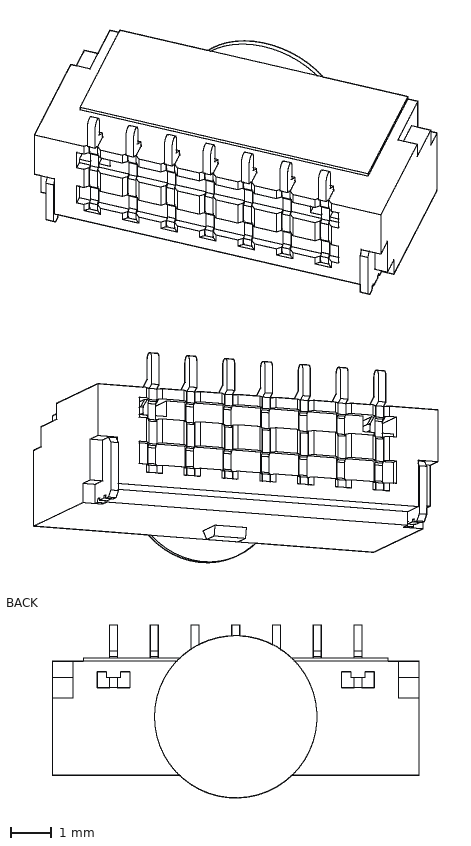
import cadquery as cq


HOUSING_WIDTH = 9.0
HOUSING_DEPTH = 4.24
HOUSING_HEIGHT = 2.8

REAR_NOTCH_WIDTH = 0.5
REAR_NOTCH_LENGTH = 1.5
REAR_NOTCH_DROP = 0.4
REAR_NOTCH_LOW_LENGTH = 0.48
REAR_NOTCH_LOW_DROP = 0.9

NAIL_NOTCH_WIDTH = 0.52
NAIL_NOTCH_LENGTH = 0.5
NAIL_NOTCH_HEIGHT = 1.5
NAIL_NOTCH_LOW_LENGTH = 0.98
NAIL_NOTCH_LOW_HEIGHT = 0.48

RELIEF_HEIGHT = 0.34
RELIEF_LENGTH = 0.7

NAIL_THICKNESS = 0.2
NAIL_CHAMFER_LENGTH = 0.15
NAIL_CHAMFER_HEIGHT = 0.15
NAIL_FOOT_LENGTH = 0.17
NAIL_GROOVE_LENGTH = 0.13
NAIL_PAD_LENGTH = 0.31
NAIL_GROOVE_HEIGHT = 0.09
NAIL_PAD_GAP = 0.03

NUB_WIDTH = 0.83
NUB_DEPTH = 0.26
NUB_FRONT = 2.45
NUB_REAR = 3.24
NUB_FRONT_DRAFT = 0.06
NUB_REAR_DRAFT = 0.24

CONTACT_COUNT = 7
CONTACT_PITCH = 1.0
CONTACT_WIDTH = 0.2
CONTACT_PROTRUSION = 0.06
TAIL_THICKNESS = 0.31
TAIL_TOP = 3.69
TAIL_BEND_TOP = 3.05
TAIL_HEEL_TOP = 2.91
TAIL_HEEL_REAR = 0.5
TAIL_FRONT_CHAMFER = 0.08

BAND_HALF_WIDTH = 3.4
BAND_DEPTH = 0.2
UPPER_BAND = (2.04, 2.54)
LOWER_BAND = (0.88, 1.44)
GROOVE_BOTTOM = 0.68
GROOVE_WIDTH = 0.43
GROOVE_DEPTH = 0.1
SLOT_WIDTH = 0.22

RECESS_TOPS = (2.52, 1.42)
RECESS_HEIGHT = 0.54
RECESS_DEPTH = 0.08
RECESS_LIP_DEPTH = 0.05
RECESS_LIP_HEIGHT = 0.03
RECESS_TOP_SLOPE = 0.085
RECESS_BOTTOM_SLOPE = 0.06

WINDOW_WIDTH = 0.8
WINDOW_BOTTOM = 2.15
WINDOW_TOP = UPPER_BAND[1]
LEDGE_WIDTH = 0.35
LEDGE_DROP = 0.14
LEDGE_SLOPE_LENGTH = 0.3

COVER_WIDTH = 7.48
COVER_LENGTH = 3.0
COVER_THICKNESS = 0.08
DISC_DIAMETER = 3.99
DISC_THICKNESS = 0.13
DISC_CENTER_Z = 1.435

HALF_WIDTH = HOUSING_WIDTH / 2
CONTACT_XS = [(i - (CONTACT_COUNT - 1) / 2) * CONTACT_PITCH for i in range(CONTACT_COUNT)]


def box(x_range, y_range, z_range):
    """Axis-aligned block between pairs of limits."""
    size = [high - low for low, high in (x_range, y_range, z_range)]
    corner = (x_range[0], y_range[0], z_range[0])
    return cq.Workplane("XY").box(*size, centered=False).translate(corner)


def side_plate(yz_outline, x_start, width):
    """Extrude a YZ outline along +X."""
    return cq.Workplane("YZ").polyline(yz_outline).close().extrude(width).translate((x_start, 0, 0))


def corner_start(side, inset, width):
    """Lower X limit of a slab whose outer face is inset from one end of the housing."""
    return HALF_WIDTH - inset - width if side > 0 else -HALF_WIDTH + inset


def cut_rear_notch(body, side):
    middle = HOUSING_DEPTH - REAR_NOTCH_LOW_LENGTH
    front = HOUSING_DEPTH - REAR_NOTCH_LENGTH
    low = HOUSING_HEIGHT - REAR_NOTCH_LOW_DROP
    shelf = HOUSING_HEIGHT - REAR_NOTCH_DROP
    outline = [
        (HOUSING_DEPTH, low),
        (middle, low),
        (middle, shelf),
        (front, shelf),
        (front, HOUSING_HEIGHT),
        (HOUSING_DEPTH, HOUSING_HEIGHT),
    ]
    return body.cut(side_plate(outline, corner_start(side, 0, REAR_NOTCH_WIDTH), REAR_NOTCH_WIDTH))


def cut_nail_notch(body, side):
    outline = [
        (0, 0),
        (NAIL_NOTCH_LOW_LENGTH, 0),
        (NAIL_NOTCH_LOW_LENGTH, NAIL_NOTCH_LOW_HEIGHT),
        (NAIL_NOTCH_LENGTH, NAIL_NOTCH_LOW_HEIGHT),
        (NAIL_NOTCH_LENGTH, NAIL_NOTCH_HEIGHT),
        (0, NAIL_NOTCH_HEIGHT),
    ]
    return body.cut(side_plate(outline, corner_start(side, 0, NAIL_NOTCH_WIDTH), NAIL_NOTCH_WIDTH))


def add_nub(body):
    outline = [
        (NUB_FRONT, 0),
        (NUB_FRONT + NUB_FRONT_DRAFT, -NUB_DEPTH),
        (NUB_REAR - NUB_REAR_DRAFT, -NUB_DEPTH),
        (NUB_REAR, 0),
    ]
    return body.union(side_plate(outline, -NUB_WIDTH / 2, NUB_WIDTH))


def cut_grooves(body):
    """Grooves with sloping sides, each with a straight slot behind for its contact."""
    for x in CONTACT_XS:
        groove = (
            cq.Workplane("XY", origin=(x, 0, GROOVE_BOTTOM))
            .polyline([
                (-GROOVE_WIDTH / 2, 0),
                (-SLOT_WIDTH / 2, GROOVE_DEPTH),
                (-SLOT_WIDTH / 2, TAIL_HEEL_REAR),
                (SLOT_WIDTH / 2, TAIL_HEEL_REAR),
                (SLOT_WIDTH / 2, GROOVE_DEPTH),
                (GROOVE_WIDTH / 2, 0),
            ])
            .close()
            .extrude(HOUSING_HEIGHT - GROOVE_BOTTOM)
        )
        body = body.cut(groove)
    return body


def cut_bands(body):
    for z_range in (UPPER_BAND, LOWER_BAND):
        body = body.cut(box((-BAND_HALF_WIDTH, BAND_HALF_WIDTH), (0, BAND_DEPTH), z_range))
    return body


def cut_windows(body):
    ledge_outline = [
        (BAND_DEPTH, WINDOW_TOP),
        (BAND_DEPTH + LEDGE_SLOPE_LENGTH, WINDOW_TOP - LEDGE_DROP),
        (HOUSING_DEPTH, WINDOW_TOP - LEDGE_DROP),
        (HOUSING_DEPTH, WINDOW_TOP),
    ]
    for x in (CONTACT_XS[0], CONTACT_XS[-1]):
        window = box(
            (x - WINDOW_WIDTH / 2, x + WINDOW_WIDTH / 2),
            (BAND_DEPTH, HOUSING_DEPTH),
            (WINDOW_BOTTOM, WINDOW_TOP),
        )
        ledge = side_plate(ledge_outline, x - LEDGE_WIDTH / 2, LEDGE_WIDTH)
        body = body.cut(window.cut(ledge))
    return body


def make_contact(x):
    """Contact with a round-ended tail and a lipped recess in its face at each band."""
    tail_front = -CONTACT_PROTRUSION
    tail_rear = tail_front + TAIL_THICKNESS
    tail_middle = (tail_front + tail_rear) / 2
    shoulder = TAIL_TOP - TAIL_THICKNESS / 2
    outline = (
        cq.Workplane("YZ")
        .moveTo(TAIL_HEEL_REAR, GROOVE_BOTTOM)
        .lineTo(TAIL_HEEL_REAR, TAIL_HEEL_TOP)
        .lineTo(tail_rear, TAIL_BEND_TOP)
        .lineTo(tail_rear, shoulder)
        .threePointArc((tail_middle, TAIL_TOP), (tail_front, shoulder))
        .lineTo(tail_front, HOUSING_HEIGHT + TAIL_FRONT_CHAMFER)
        .lineTo(GROOVE_DEPTH, HOUSING_HEIGHT)
    )
    recess_face = GROOVE_DEPTH + RECESS_DEPTH
    for top in RECESS_TOPS:
        bottom = top - RECESS_HEIGHT
        outline = (
            outline.lineTo(GROOVE_DEPTH, top)
            .lineTo(GROOVE_DEPTH + RECESS_LIP_DEPTH, top - RECESS_LIP_HEIGHT)
            .lineTo(recess_face, top - RECESS_TOP_SLOPE)
            .lineTo(recess_face, bottom + RECESS_BOTTOM_SLOPE)
            .lineTo(GROOVE_DEPTH + RECESS_LIP_DEPTH, bottom + RECESS_LIP_HEIGHT)
            .lineTo(GROOVE_DEPTH, bottom)
        )
    contact = outline.lineTo(GROOVE_DEPTH, GROOVE_BOTTOM).close().extrude(CONTACT_WIDTH)
    return contact.translate((x - CONTACT_WIDTH / 2, 0, 0))


def make_housing():
    """Moulded block with the contacts and the locking nub joined to it."""
    body = box((-HALF_WIDTH, HALF_WIDTH), (0, HOUSING_DEPTH), (0, HOUSING_HEIGHT))
    for side in (-1, 1):
        body = cut_rear_notch(body, side)
        body = cut_nail_notch(body, side)
    relief_half_width = HALF_WIDTH - NAIL_NOTCH_WIDTH
    body = body.cut(box((-relief_half_width, relief_half_width), (0, RELIEF_LENGTH), (0, RELIEF_HEIGHT)))
    body = cut_grooves(body)
    body = cut_bands(body)
    body = cut_windows(body)
    body = add_nub(body)
    for x in CONTACT_XS:
        body = body.union(make_contact(x))
    return body


def make_nail(side):
    """L-shaped nail lying against the inner wall of its notch."""
    front = -CONTACT_PROTRUSION
    chamfer_rear = front + NAIL_CHAMFER_LENGTH
    foot_rear = chamfer_rear + NAIL_FOOT_LENGTH
    pad_front = foot_rear + NAIL_GROOVE_LENGTH
    pad_rear = pad_front + NAIL_PAD_LENGTH
    heel_front = pad_rear + NAIL_GROOVE_LENGTH
    groove_slope = NAIL_GROOVE_LENGTH / 3
    outline = [
        (front, NAIL_CHAMFER_HEIGHT),
        (chamfer_rear, 0),
        (foot_rear, 0),
        (foot_rear + groove_slope, NAIL_GROOVE_HEIGHT),
        (pad_front, NAIL_GROOVE_HEIGHT),
        (pad_front, NAIL_PAD_GAP),
        (pad_rear, NAIL_PAD_GAP),
        (pad_rear, NAIL_GROOVE_HEIGHT),
        (heel_front - groove_slope, NAIL_GROOVE_HEIGHT),
        (heel_front, 0),
        (NAIL_NOTCH_LOW_LENGTH, 0),
        (NAIL_NOTCH_LOW_LENGTH, NAIL_NOTCH_LOW_HEIGHT),
        (NAIL_NOTCH_LENGTH, NAIL_NOTCH_LOW_HEIGHT),
        (NAIL_NOTCH_LENGTH, NAIL_NOTCH_HEIGHT),
        (chamfer_rear, NAIL_NOTCH_HEIGHT),
        (front, NAIL_NOTCH_HEIGHT - NAIL_CHAMFER_HEIGHT),
    ]
    start = corner_start(side, NAIL_NOTCH_WIDTH - NAIL_THICKNESS, NAIL_THICKNESS)
    return side_plate(outline, start, NAIL_THICKNESS)


def make_cover():
    return box(
        (-COVER_WIDTH / 2, COVER_WIDTH / 2),
        (HOUSING_DEPTH - COVER_LENGTH, HOUSING_DEPTH),
        (HOUSING_HEIGHT, HOUSING_HEIGHT + COVER_THICKNESS),
    )


def make_disc():
    center = (0, HOUSING_DEPTH, DISC_CENTER_Z)
    return cq.Workplane("XZ", origin=center).circle(DISC_DIAMETER / 2).extrude(-DISC_THICKNESS)


housing = make_housing()
nails = [make_nail(side) for side in (-1, 1)]
cover = make_cover()
disc = make_disc()

result = cq.Compound.makeCompound(
    [housing.val(), *[nail.val() for nail in nails], cover.val(), disc.val()]
)